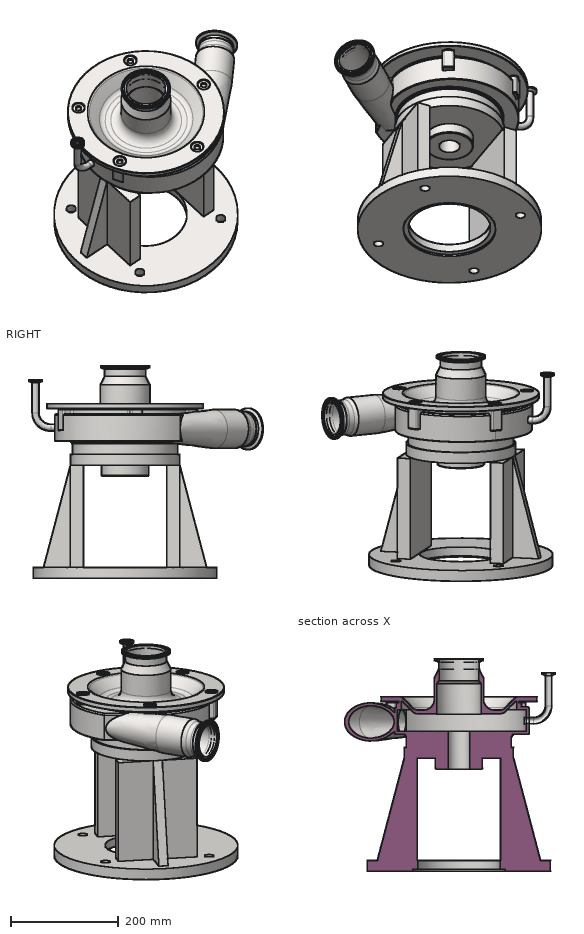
import cadquery as cq
import math

base_diameter = 343.0
base_thickness = 20.6
base_opening_diameter = 153.0
base_recess_radius = 86.0
base_recess_depth = 4.0
anchor_hole_count = 4
anchor_hole_first_angle = 45
anchor_hole_diameter = 17.5
anchor_hole_circle_radius = 140.0
leg_height = 190.5
leg_width = 150.0
leg_thickness = 25.0
top_ring_radius = 102.3
top_ring_thickness = 20.6
gusset_thickness = 17.6
gusset_foot_y = 152.4

neck_radius = 98.5
neck_height = 20.0
collar_radius = 99.8
collar_height = 2.0
shoulder_radius = 101.5
shoulder_height = 2.0
stub_radius = 44.3
stub_length = 20.4
stub_chamfer = 1.5
shaft_hole_radius = 19.5

volute_height = 51.8
volute_tongue = (122.5, 95)
volute_near_side = (125.8, 160)
volute_seam = (129.0, 225)
volute_far_side = (137.0, 315)
volute_exit = (145.0, 405)
volute_top_chamfer = 3.0
volute_bottom_chamfer = 1.2
volute_wall = 6.0

seat_radius = 117.0
seat_height = 9.3
spigot_radius = 112.5
spigot_height = 2.0
lug_count = 5
lug_first_angle = 9
lug_circle_radius = 126.2
lug_width = 22.5
lug_outer_radius = 135.5
lug_corner_radius = 3.0
lug_bottom_chamfer = 2.0
lug_height = 39.5
lug_root_fillet = 4.0
pad_radius = 10.3

cover_radius = 146.0
cover_thickness = 9.6
cover_edge_chamfer = 0.8
dish_mouth_radius = 107.5
dish_depth = 24.8
dish_floor_outer_radius = 76.5
dish_floor_inner_radius = 66.0
dish_wall = 8.0
dish_corner_radius = 15.0
dish_bend_angle = 45
dish_edge_chamfer = 1.5
screw_recess_radius = 12.0
screw_recess_depth = 1.8
screw_head_radius = 11.0
screw_socket_radius = 5.5
screw_socket_depth = 4.0
screw_cone_depth = 3.0

overall_height = 396.5
inlet_body_radius = 46.5
inlet_tube_radius = 38.6
inlet_flange_radius = 45.7
inlet_bore_radius = 36.5
inlet_throat_radius = 41.0
reducer_top_drop = 19.5
reducer_bottom_drop = 35.2
throat_drop = 40.5
throat_flare = 6.0

outlet_heading = 45
outlet_axis_offset = 115.0
outlet_face_distance = 210.8
outlet_center_above_volute_floor = 23.3
outlet_pipe_radius = 36.3
outlet_neck_radius = 32.3
outlet_bead_radius = 33.4
outlet_flange_radius = 38.8
outlet_bore_radius = 30.1
outlet_bead_start = 192.2
outlet_bead_end = 198.2
outlet_reducer_start = 182.6
outlet_reducer_end = 174.5
outlet_pipe_start = 118.0
outlet_root_axis_offset = 112.0
outlet_root_half_width = 31.0
outlet_root_half_height = 25.5

drain_tube_radius = 6.6
drain_bore_radius = 4.7
drain_y = -167.1
drain_bend_radius = 28.0
drain_axis_above_volute_floor = 25.7
drain_top_drop = 25.5
drain_inner_y = -122.0
drain_flange_radius = 12.7

clamp_rim_thickness = 3.0
clamp_total_thickness = 6.0
clamp_groove_radius = 1.6
clamp_groove_setback = 3.4

leg_top = base_thickness + leg_height
top_ring_top = leg_top + top_ring_thickness
neck_top = top_ring_top + neck_height
collar_top = neck_top + collar_height
volute_floor = collar_top + shoulder_height
volute_top = volute_floor + volute_height
cover_bottom = volute_top + seat_height
lug_top = cover_bottom - spigot_height
cover_top = cover_bottom + cover_thickness
dish_floor = cover_top - dish_depth
chamber_floor = volute_floor + volute_wall
outlet_z = volute_floor + outlet_center_above_volute_floor
drain_axis_z = volute_floor + drain_axis_above_volute_floor
drain_top = overall_height - drain_top_drop
lug_angles = [lug_first_angle + 360 / lug_count * i for i in range(lug_count)]


def disc(radius, bottom, top):
    return cq.Workplane("XY").workplane(offset=bottom).circle(radius).extrude(top - bottom)


def revolve_profile(sketch):
    """Revolve a closed (radius, height) profile about the vertical axis."""
    return sketch.close().revolve(360, (0, 0, 0), (0, 1, 0))


def polar_point(radius, angle):
    return (radius * math.cos(math.radians(angle)), radius * math.sin(math.radians(angle)))


def clamp_flange(flange_radius, tube_radius):
    """Clamp flange whose face is at height zero and whose tube leaves downward."""
    flange = revolve_profile(
        cq.Workplane("XZ")
        .moveTo(0, 0)
        .lineTo(flange_radius, 0)
        .lineTo(flange_radius, -clamp_rim_thickness)
        .lineTo(tube_radius, -clamp_total_thickness)
        .lineTo(0, -clamp_total_thickness)
    )
    groove_center_radius = flange_radius - clamp_groove_setback
    groove = revolve_profile(
        cq.Workplane("XZ")
        .moveTo(groove_center_radius - clamp_groove_radius, 0)
        .threePointArc(
            (groove_center_radius, -clamp_groove_radius), (groove_center_radius + clamp_groove_radius, 0)
        )
    )
    return flange.cut(groove)


def make_pedestal():
    anchor_holes = (
        cq.Workplane("XY")
        .polarArray(anchor_hole_circle_radius, anchor_hole_first_angle, 360, anchor_hole_count)
        .circle(anchor_hole_diameter / 2)
        .extrude(base_thickness)
    )
    pedestal = disc(base_diameter / 2, 0, base_thickness)
    pedestal = pedestal.cut(disc(base_opening_diameter / 2, 0, base_thickness)).cut(anchor_holes)
    pedestal = pedestal.cut(disc(base_recess_radius, 0, base_recess_depth))
    for side in (-1, 1):
        leg = cq.Workplane("XY").box(leg_width, leg_thickness, leg_height, centered=(True, True, False))
        leg_y = side * (top_ring_radius - leg_thickness / 2)
        gusset = (
            cq.Workplane("YZ", origin=(-gusset_thickness / 2, 0, 0))
            .moveTo(side * (top_ring_radius - leg_thickness), base_thickness)
            .lineTo(side * gusset_foot_y, base_thickness)
            .lineTo(side * top_ring_radius, leg_top)
            .lineTo(side * (top_ring_radius - leg_thickness), leg_top)
            .close()
            .extrude(gusset_thickness)
        )
        pedestal = pedestal.union(leg.translate((0, leg_y, base_thickness))).union(gusset)
    return pedestal.union(disc(top_ring_radius, leg_top, top_ring_top))


def make_back_housing():
    stub = disc(stub_radius, leg_top - stub_length, leg_top).faces("<Z").chamfer(stub_chamfer)
    return (
        stub.union(disc(neck_radius, top_ring_top, neck_top))
        .union(disc(collar_radius, neck_top, collar_top))
        .union(disc(shoulder_radius, collar_top, volute_floor))
    )


def volute_solid(inset, bottom, height):
    """Spiral casing block, shrunk inward by the inset."""
    stations = (volute_tongue, volute_near_side, volute_seam, volute_far_side, volute_exit)
    points = [polar_point(radius - inset, angle) for radius, angle in stations]
    tongue, near_side, seam, far_side, exit_point = points
    return (
        cq.Workplane("XY")
        .workplane(offset=bottom)
        .moveTo(*tongue)
        .threePointArc(near_side, seam)
        .threePointArc(far_side, exit_point)
        .close()
        .extrude(height)
    )


def make_cover_seat():
    """Round seat under the cover, with bolt lugs standing proud of the volute and round pads on top."""
    seat_bottom = volute_top - volute_wall
    arm_length = lug_outer_radius - lug_corner_radius
    flange = disc(seat_radius, seat_bottom, lug_top)
    for angle in lug_angles:
        arm = (
            cq.Workplane("XY")
            .box(arm_length, lug_width, lug_top - seat_bottom, centered=(False, True, False))
            .translate((0, 0, seat_bottom))
            .rotate((0, 0, 0), (0, 0, 1), angle)
        )
        flange = flange.union(arm)
    root_edges = flange.edges("|Z").filter(
        lambda edge: abs(math.hypot(edge.Center().x, edge.Center().y) - seat_radius) < lug_corner_radius
    )
    flange = root_edges.fillet(lug_root_fillet)
    flange = flange.union(disc(spigot_radius, lug_top, cover_bottom))

    post_length = lug_outer_radius - seat_radius + lug_width
    post = (
        cq.Workplane("XY")
        .box(post_length, lug_width, lug_height, centered=(False, True, False))
        .edges("|Z and >X")
        .fillet(lug_corner_radius)
        .faces("<Z")
        .chamfer(lug_bottom_chamfer)
        .translate((lug_outer_radius - post_length, 0, lug_top - lug_height))
    )
    pad = disc(pad_radius, lug_top, cover_bottom).translate((lug_circle_radius, 0, 0))
    for angle in lug_angles:
        flange = flange.union(post.union(pad).rotate((0, 0, 0), (0, 0, 1), angle))
    return flange


def dish_profile(depth_shift):
    """Half section of the dish opening around the inlet body, lowered by the given depth."""
    mouth_z = cover_top - depth_shift
    floor_z = dish_floor - depth_shift
    inlet_fillet = dish_floor_inner_radius - inlet_body_radius
    bend = math.radians(dish_bend_angle)

    def corner_point(angle):
        return (
            dish_floor_outer_radius + dish_corner_radius * math.sin(angle),
            floor_z + dish_corner_radius * (1 - math.cos(angle)),
        )

    inlet_mid = (
        dish_floor_inner_radius - inlet_fillet * math.sin(math.pi / 4),
        floor_z + inlet_fillet * (1 - math.cos(math.pi / 4)),
    )
    return (
        cq.Workplane("XZ")
        .moveTo(inlet_body_radius, mouth_z)
        .lineTo(dish_mouth_radius, mouth_z)
        .lineTo(*corner_point(bend))
        .threePointArc(corner_point(bend / 2), (dish_floor_outer_radius, floor_z))
        .lineTo(dish_floor_inner_radius, floor_z)
        .threePointArc(inlet_mid, (inlet_body_radius, floor_z + inlet_fillet))
    )


def make_cover():
    """Cover plate with a dish whose wall follows below the opening."""
    plate = disc(cover_radius, cover_bottom, cover_top).edges().chamfer(cover_edge_chamfer)
    dish_body = revolve_profile(dish_profile(dish_wall))
    core = disc(dish_floor_inner_radius, dish_floor - dish_wall, cover_top)
    opening = revolve_profile(dish_profile(0))
    cover = plate.union(dish_body).union(core).cut(opening)
    mouth_edge = revolve_profile(
        cq.Workplane("XZ")
        .moveTo(dish_mouth_radius - dish_edge_chamfer, cover_top)
        .lineTo(dish_mouth_radius + dish_edge_chamfer, cover_top)
        .lineTo(dish_mouth_radius - dish_edge_chamfer, cover_top - dish_edge_chamfer)
    )
    return cover.cut(mouth_edge)


def screw_recesses():
    """Chamfered counterbores in the cover, each with a drilled, cone-bottomed socket."""
    face_z = cover_top - screw_recess_depth
    recess = revolve_profile(
        cq.Workplane("XZ")
        .moveTo(0, cover_top)
        .lineTo(screw_recess_radius, cover_top)
        .lineTo(screw_head_radius, cover_top - (screw_recess_radius - screw_head_radius))
        .lineTo(screw_head_radius, face_z)
        .lineTo(screw_socket_radius, face_z)
        .lineTo(screw_socket_radius, face_z - screw_socket_depth)
        .lineTo(0, face_z - screw_socket_depth - screw_cone_depth)
    )
    cuts = cq.Workplane("XY")
    for angle in lug_angles:
        cuts = cuts.add(recess.translate((*polar_point(lug_circle_radius, angle), 0)))
    return cuts.combine()


def make_inlet():
    reducer_top = overall_height - reducer_top_drop
    reducer_bottom = overall_height - reducer_bottom_drop
    neck = revolve_profile(
        cq.Workplane("XZ")
        .moveTo(0, dish_floor)
        .lineTo(inlet_body_radius, dish_floor)
        .lineTo(inlet_body_radius, reducer_bottom)
        .lineTo(inlet_tube_radius, reducer_top)
        .lineTo(inlet_tube_radius, overall_height - clamp_total_thickness)
        .lineTo(0, overall_height - clamp_total_thickness)
    )
    flange = clamp_flange(inlet_flange_radius, inlet_tube_radius)
    return neck.union(flange.translate((0, 0, overall_height)))


def inlet_passage():
    """Straight bore that flares into a wider throat and opens into the pump chamber."""
    throat_z = overall_height - throat_drop
    return revolve_profile(
        cq.Workplane("XZ")
        .moveTo(0, overall_height)
        .lineTo(inlet_bore_radius, overall_height)
        .lineTo(inlet_bore_radius, throat_z)
        .lineTo(inlet_throat_radius, throat_z - throat_flare)
        .lineTo(inlet_throat_radius, chamber_floor)
        .lineTo(0, chamber_floor)
    )


def along_outlet(body):
    """Stand a vertical body along the outlet direction, its base on the line through the pump axis."""
    leaning = body.rotate((0, 0, 0), (1, 0, 0), -90).rotate((0, 0, 0), (0, 0, 1), outlet_heading)
    return leaning.translate((*polar_point(outlet_axis_offset, outlet_heading), outlet_z))


def outlet_root(inset):
    """Transition from the oval volute exit to the round outlet pipe."""
    root_shift = outlet_root_axis_offset - outlet_axis_offset
    return (
        cq.Workplane("XY")
        .center(root_shift, 0)
        .ellipse(outlet_root_half_width - inset, outlet_root_half_height - inset)
        .workplane(offset=outlet_pipe_start)
        .center(-root_shift, 0)
        .ellipse(outlet_pipe_radius - inset, outlet_pipe_radius - inset)
        .loft(ruled=True)
    )


def make_outlet():
    pipe = revolve_profile(
        cq.Workplane("XZ")
        .moveTo(0, outlet_pipe_start)
        .lineTo(outlet_pipe_radius, outlet_pipe_start)
        .lineTo(outlet_pipe_radius, outlet_reducer_end)
        .lineTo(outlet_bead_radius, outlet_reducer_start)
        .lineTo(outlet_neck_radius, outlet_bead_start)
        .lineTo(outlet_bead_radius, outlet_bead_end)
        .lineTo(outlet_neck_radius, outlet_bead_end)
        .lineTo(outlet_neck_radius, outlet_face_distance - clamp_total_thickness)
        .lineTo(0, outlet_face_distance - clamp_total_thickness)
    )
    flange = clamp_flange(outlet_flange_radius, outlet_neck_radius)
    flange = flange.translate((0, 0, outlet_face_distance))
    return along_outlet(outlet_root(0).union(pipe).union(flange))


def outlet_passage():
    bore = disc(outlet_bore_radius, outlet_pipe_start, outlet_face_distance)
    return along_outlet(outlet_root(outlet_pipe_radius - outlet_bore_radius).union(bore))


def drain_run(radius):
    """Round run from inside the volute, outward, and up through a bend to the drain face."""
    bend_start_y = drain_y + drain_bend_radius
    bend_top_z = drain_axis_z + drain_bend_radius
    bend_throw = drain_bend_radius * math.sin(math.pi / 4)
    path = (
        cq.Workplane("YZ")
        .moveTo(drain_inner_y, drain_axis_z)
        .lineTo(bend_start_y, drain_axis_z)
        .threePointArc((bend_start_y - bend_throw, bend_top_z - bend_throw), (drain_y, bend_top_z))
        .lineTo(drain_y, drain_top)
    )
    return cq.Workplane("XZ", origin=(0, drain_inner_y, drain_axis_z)).circle(radius).sweep(path)


def make_drain():
    flange = clamp_flange(drain_flange_radius, drain_tube_radius)
    return drain_run(drain_tube_radius).union(flange.translate((0, drain_y, drain_top)))


casing = volute_solid(0, volute_floor, volute_height)
casing = casing.faces(">Z").chamfer(volute_top_chamfer).faces("<Z").chamfer(volute_bottom_chamfer)
casing = casing.union(make_outlet()).union(make_cover_seat())
casing = casing.cut(disc(dish_mouth_radius, dish_floor, cover_top))
casing = casing.cut(volute_solid(volute_wall, chamber_floor, dish_floor - chamber_floor))
pump = casing.union(make_cover()).union(make_inlet()).union(make_drain())
result = make_pedestal().union(make_back_housing()).union(pump)
result = (
    result.cut(inlet_passage())
    .cut(outlet_passage())
    .cut(drain_run(drain_bore_radius))
    .cut(screw_recesses())
    .cut(disc(shaft_hole_radius, 0, chamber_floor))
)